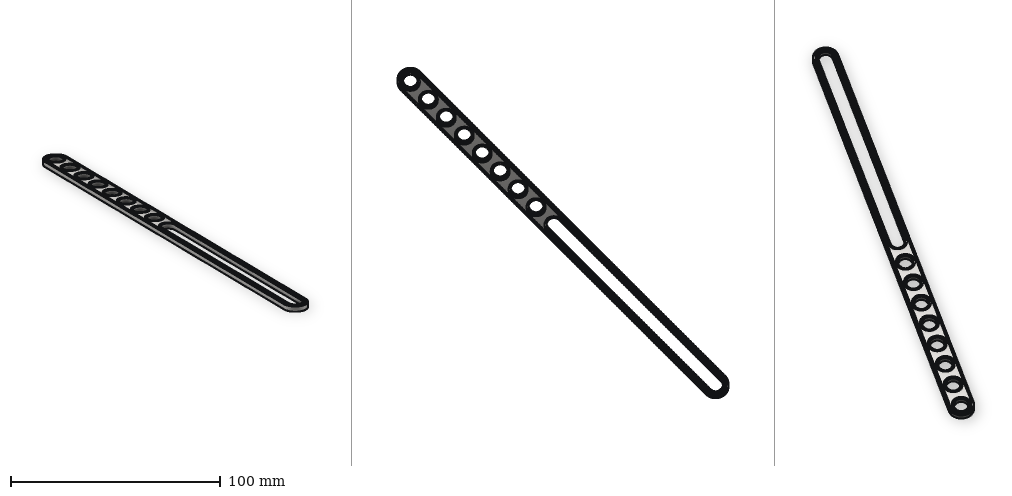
import cadquery as cq

length = 225.0
thickness = 3.2
pitch_count = 18
hole_count = 8
hole_diameter = 7.0
ring_diameter = 9.2
rim_width = 1.1
recess_depth = 0.2
edge_chamfer = 0.32

pitch = length / pitch_count
width = pitch
first_hole_x = (pitch - length) / 2
last_pitch_x = -first_hole_x
hole_positions = [first_hole_x + index * pitch for index in range(hole_count)]

slot_start_x = first_hole_x + hole_count * pitch
slot_centre_x = (slot_start_x + last_pitch_x) / 2
slot_centre_distance = last_pitch_x - slot_start_x


def round_ended_prism(overall_length, overall_width, height, taper=0):
    """Round-ended prism rising from Z = 0, centred on the origin."""
    outline = cq.Workplane("XY").slot2D(overall_length, overall_width)
    return outline.extrude(height, taper=taper)


def hole_prism(diameter, height, taper=0):
    """Round prism rising from Z = 0."""
    return cq.Workplane("XY").circle(diameter / 2).extrude(height, taper=taper)


def slot_prism(diameter, height, taper=0):
    """Prism of the slot shape whose end arcs have the given diameter."""
    return round_ended_prism(slot_centre_distance + diameter, diameter, height, taper)


def place_openings(hole_body, slot_body):
    """Put one copy of the hole body at each hole and the slot body at the slot."""
    bodies = slot_body.translate((slot_centre_x, 0, 0))
    for x in hole_positions:
        bodies = bodies.union(hole_body.translate((x, 0, 0)))
    return bodies


def on_both_faces(body):
    """Combine a body standing on the bottom face with its mirror image at the top face."""
    return body.union(body.mirror("XY").translate((0, 0, thickness)))


def chamfered_cutter(prism):
    """Through cutter that widens at 45 degrees to chamfer both edges of an opening."""
    flare = prism(hole_diameter + 2 * edge_chamfer, edge_chamfer, taper=45)
    return prism(hole_diameter, thickness).union(on_both_faces(flare))


def make_bar():
    """Solid round-ended bar with both outer edges chamfered."""
    bar = round_ended_prism(length, width, thickness)
    return bar.faces("<Z or >Z").chamfer(edge_chamfer)


def make_web_recess():
    """Shallow pocket inside the outer rim that leaves raised rings around the openings."""
    pocket = round_ended_prism(length - 2 * rim_width, width - 2 * rim_width, recess_depth)
    rings = place_openings(
        hole_prism(ring_diameter, recess_depth),
        slot_prism(ring_diameter, recess_depth),
    )
    recess = pocket.cut(rings)
    return on_both_faces(recess)


def make_openings():
    """Cutters for the row of holes and the long slot."""
    return place_openings(chamfered_cutter(hole_prism), chamfered_cutter(slot_prism))


result = make_bar().cut(make_web_recess()).cut(make_openings())
result = result.translate((0, 0, -thickness / 2))